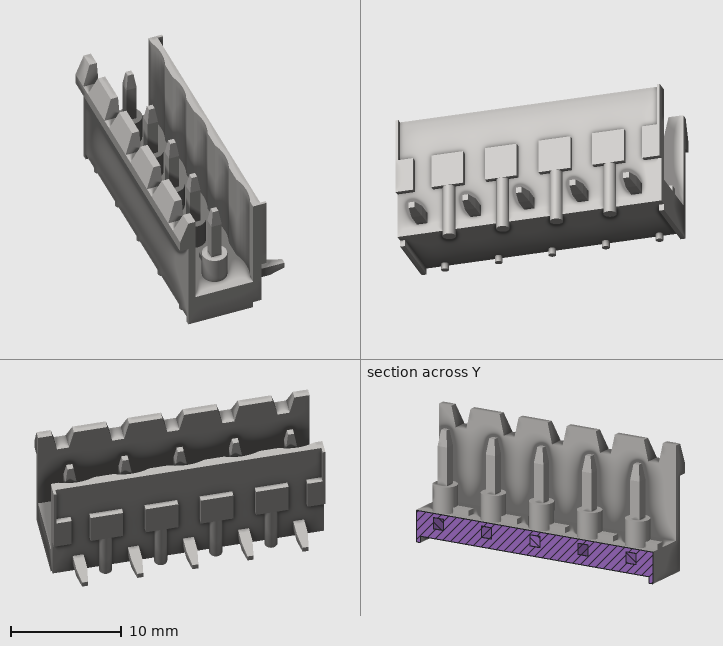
import cadquery as cq

LENGTH = 25.0
HEIGHT = 12.0
PIN_COUNT = 5
PIN_PITCH = 5.08

LATCH_DEPTH = 0.8
FRONT_WALL = 0.7
CAVITY_WIDTH = 5.6
BACK_WALL = 0.8
BACK_RECESS = 0.52
FRONT_FACE = LATCH_DEPTH
CAVITY_FRONT = FRONT_FACE + FRONT_WALL
CAVITY_BACK = CAVITY_FRONT + CAVITY_WIDTH
RECESS_FACE = CAVITY_BACK + BACK_WALL
BACK_FACE = RECESS_FACE + BACK_RECESS

STANDOFF = 0.6
FLOOR_TOP = 3.02
FLANGE_BOTTOM = 4.85
LATCH_BOTTOM = 8.98
LATCH_SHOULDER = 10.02

FOOT_WIDTH = 0.48
FLANGE_WIDTH = 0.25
PAD_TOP = 8.0
TAIL_GAP = 2.08
END_GAP = 0.7
NOTCH_TOP_WIDTH = 2.0
NOTCH_BOTTOM_WIDTH = 1.1
NOTCH_SHIFT = 0.05
SCALLOP_CHORD = 3.3
SCALLOP_DEPTH = 0.3
COLLAR_DIAMETER = 2.3
COLLAR_TOP = 5.52
RIB_WIDTH = 0.82
RIB_TOP = 3.55
RIB_REACH = 2.72
POST_DIAMETER = 1.2
STUD_DIAMETER = 0.7
STUD_Y = 1.2

PIN_SIZE = 1.0
PIN_TIP_SIZE = 0.55
PIN_TAPER = 1.5
PIN_TOP = 10.65
PIN_Y = 4.3
TAIL_Z = 2.08
TAIL_END = 11.0

PIN_XS = [LENGTH / 2 + (i - (PIN_COUNT - 1) / 2) * PIN_PITCH for i in range(PIN_COUNT)]
POST_XS = [x + PIN_PITCH / 2 for x in PIN_XS[:-1]]


def box(x0, x1, y0, y1, z0, z1):
    """Box between two corners."""
    return cq.Workplane("XY").box(x1 - x0, y1 - y0, z1 - z0, centered=False).translate((x0, y0, z0))


def cylinder(x, y, z0, z1, diameter):
    """Upright cylinder."""
    return cq.Workplane("XY", origin=(x, y, z0)).circle(diameter / 2).extrude(z1 - z0)


def trough():
    """U-shaped channel with the latch lip along the top of its front wall."""
    profile = [
        (FRONT_FACE, 0),
        (RECESS_FACE, 0),
        (RECESS_FACE, HEIGHT),
        (CAVITY_BACK, HEIGHT),
        (CAVITY_BACK, FLOOR_TOP),
        (CAVITY_FRONT, FLOOR_TOP),
        (CAVITY_FRONT, HEIGHT),
        (FRONT_FACE, HEIGHT),
        (0, LATCH_SHOULDER),
        (0, LATCH_BOTTOM),
        (FRONT_FACE, LATCH_BOTTOM),
    ]
    return cq.Workplane("YZ").polyline(profile).close().extrude(LENGTH)


def underside_relief():
    """Space below the raised underside, leaving an end foot that stops short of the back wall."""
    between_feet = box(FOOT_WIDTH, LENGTH - FOOT_WIDTH, 0, BACK_FACE, 0, STANDOFF)
    below_back_wall = box(0, LENGTH, CAVITY_BACK, BACK_FACE, 0, STANDOFF)
    return between_feet.union(below_back_wall)


def latch_notch(x):
    """Tapered gap through the latch at one contact."""
    outline = [
        (x - NOTCH_BOTTOM_WIDTH / 2, LATCH_SHOULDER),
        (x + NOTCH_BOTTOM_WIDTH / 2, LATCH_SHOULDER),
        (x + NOTCH_TOP_WIDTH / 2, HEIGHT),
        (x - NOTCH_TOP_WIDTH / 2, HEIGHT),
    ]
    return cq.Workplane("XZ").polyline(outline).close().extrude(-CAVITY_FRONT)


def scallop(x):
    """Shallow curved flute in the inner face of the back wall at one contact."""
    return (
        cq.Workplane("XY", origin=(x, CAVITY_BACK, FLOOR_TOP))
        .moveTo(-SCALLOP_CHORD / 2, 0)
        .threePointArc((0, SCALLOP_DEPTH), (SCALLOP_CHORD / 2, 0))
        .close()
        .extrude(HEIGHT - FLOOR_TOP)
    )


def back_flanges():
    """Narrow upright flange at each end of the back face."""
    left = box(0, FLANGE_WIDTH, RECESS_FACE, BACK_FACE, FLANGE_BOTTOM, HEIGHT)
    right = left.translate((LENGTH - FLANGE_WIDTH, 0, 0))
    return left.union(right)


def back_pads():
    """Row of pads on the back face, parted by a gap above each solder tail."""
    starts = [FLANGE_WIDTH] + [x + TAIL_GAP / 2 for x in PIN_XS[:-1]] + [PIN_XS[-1] + END_GAP]
    ends = [PIN_XS[0] - END_GAP] + [x - TAIL_GAP / 2 for x in PIN_XS[1:]] + [LENGTH - FLANGE_WIDTH]
    pads = cq.Workplane("XY")
    for start, end in zip(starts, ends):
        pads = pads.union(box(start, end, RECESS_FACE, BACK_FACE, FLANGE_BOTTOM, PAD_TOP))
    return pads


def collar_and_rib(x):
    """Round collar around one contact with a low rib running from it along the floor."""
    collar = cylinder(x, PIN_Y, FLOOR_TOP, COLLAR_TOP, COLLAR_DIAMETER)
    rib_start = max(0, x - RIB_REACH)
    rib = box(rib_start, x, PIN_Y - RIB_WIDTH / 2, PIN_Y + RIB_WIDTH / 2, FLOOR_TOP, RIB_TOP)
    return collar.union(rib)


def make_pin(x):
    """Right-angled square contact with a tapered tip on its upright leg and on its solder tail."""
    half = PIN_SIZE / 2
    upright = box(x - half, x + half, PIN_Y - half, PIN_Y + half, TAIL_Z - half, PIN_TOP - PIN_TAPER)
    tail = box(x - half, x + half, PIN_Y - half, TAIL_END - PIN_TAPER, TAIL_Z - half, TAIL_Z + half)
    pin = upright.union(tail)
    tip_plane = cq.Plane(origin=(x, PIN_Y, PIN_TOP - PIN_TAPER), normal=(0, 0, 1))
    tail_plane = cq.Plane(origin=(x, TAIL_END - PIN_TAPER, TAIL_Z), xDir=(1, 0, 0), normal=(0, 1, 0))
    for plane in (tip_plane, tail_plane):
        tip = (
            cq.Workplane(plane)
            .rect(PIN_SIZE, PIN_SIZE)
            .workplane(offset=PIN_TAPER)
            .rect(PIN_TIP_SIZE, PIN_TIP_SIZE)
            .loft(ruled=True)
        )
        pin = pin.union(tip)
    return pin


def make_housing(pins):
    """Housing with a matching passage for every pin."""
    housing = trough().cut(underside_relief())
    housing = housing.union(back_flanges()).union(back_pads())
    for x in POST_XS:
        post = cylinder(x, BACK_FACE - POST_DIAMETER / 2, 0, FLANGE_BOTTOM, POST_DIAMETER)
        housing = housing.union(post)
    for x in PIN_XS:
        housing = housing.cut(latch_notch(x + NOTCH_SHIFT)).cut(scallop(x))
        housing = housing.union(collar_and_rib(x))
        housing = housing.union(cylinder(x, STUD_Y, 0, STANDOFF, STUD_DIAMETER))
    for pin in pins:
        housing = housing.cut(pin)
    return housing


pins = [make_pin(x) for x in PIN_XS]
housing = make_housing(pins)

result = cq.Compound.makeCompound([housing.val(), *[pin.val() for pin in pins]])